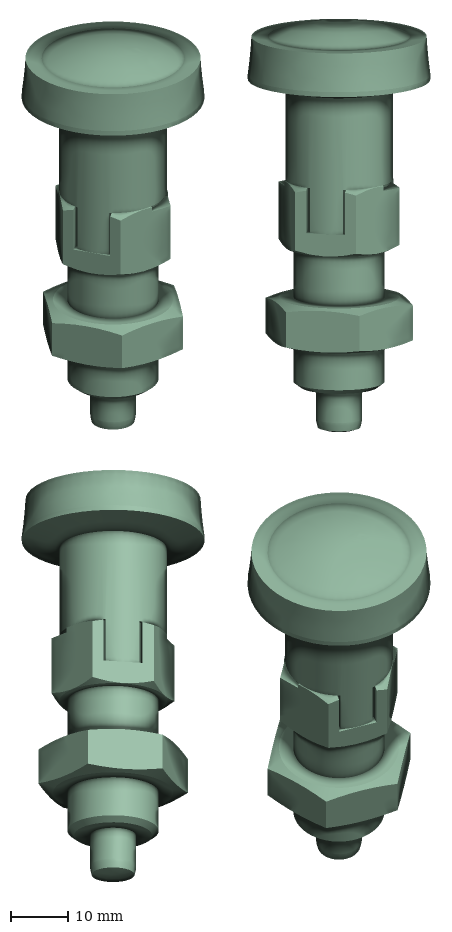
import cadquery as cq
import math

PIN_DOME_TOP = 0.7
PIN_TAPER_TOP = 2.25
BODY_BOTTOM = 8.0
NUT_BOTTOM = 16.0
NUT_TOP = 24.0
COLLAR_BOTTOM = 33.0
COLLAR_TOP = 45.0
KNOB_BOTTOM = 61.3
KNOB_CONE_TOP = 62.85
KNOB_BAND_TOP = 63.7
KNOB_RIM = 70.5
KNOB_APEX = 73.0

PIN_RADIUS = 8.0 / 2
PIN_NOSE_RADIUS = 7.5 / 2
PIN_TAPER_BULGE = 0.1
BODY_RADIUS = 16.0 / 2
BODY_CHAMFER_HEIGHT = 0.9
BODY_CHAMFER_WIDTH = 1.2
SLEEVE_RADIUS = 18.8 / 2

KNOB_RADIUS = 32.0 / 2
KNOB_RIM_RADIUS = 15.3
KNOB_SIDE_HOLLOW = 0.1
KNOB_DOME_RADIUS = 12.5

NUT_FLATS = 23.1
NUT_FACE_RADIUS = 10.5
NUT_CHAMFER_DEPTH = 0.9
COLLAR_FLATS = 19.0
COLLAR_CHAMFER_DEPTH = 0.8

SLOT_WIDTH = 7.0
DEEP_SLOT_DEPTH = 7.95
SHALLOW_SLOT_DEPTH = 0.95
SLOT_CORE_RADIUS = 8.75
TAB_WIDTH = 6.0
STUB_WIDTH = 5.5
STUB_HEIGHT = 0.5
STUB_RADIUS = 9.1


def cylinder(radius, bottom, top):
    return cq.Workplane("XY").workplane(offset=bottom).circle(radius).extrude(top - bottom)


def block(x_size, y_size, bottom, top):
    return cq.Workplane("XY").workplane(offset=bottom).rect(x_size, y_size).extrude(top - bottom)


def chamfered_hexagon(flats, bottom, top, face_radius, chamfer_depth):
    """Hexagonal prism whose corners are turned off conically at both ends."""
    corner_radius = flats / math.sqrt(3)
    prism = cq.Workplane("XY").workplane(offset=bottom).polygon(6, 2 * corner_radius).extrude(top - bottom)
    turned_envelope = (
        cq.Workplane("XZ")
        .moveTo(0, bottom)
        .lineTo(face_radius, bottom)
        .lineTo(corner_radius, bottom + chamfer_depth)
        .lineTo(corner_radius, top - chamfer_depth)
        .lineTo(face_radius, top)
        .lineTo(0, top)
        .close()
        .revolve(360, (0, 0, 0), (0, 1, 0))
    )
    return prism.intersect(turned_envelope)


def cap_drop(rim_radius, height):
    """Drop from the apex of a spherical cap to its surface at half the rim radius."""
    sphere_radius = (rim_radius**2 + height**2) / (2 * height)
    return sphere_radius - math.sqrt(sphere_radius**2 - (rim_radius / 2) ** 2)


def turned_core():
    """Pin, body, sleeve and knob as one revolved profile."""
    dome_middle = (PIN_NOSE_RADIUS / 2, cap_drop(PIN_NOSE_RADIUS, PIN_DOME_TOP))
    taper_middle = (
        (PIN_NOSE_RADIUS + PIN_RADIUS) / 2 + PIN_TAPER_BULGE,
        (PIN_DOME_TOP + PIN_TAPER_TOP) / 2,
    )
    side_middle = (
        (KNOB_RADIUS + KNOB_RIM_RADIUS) / 2 - KNOB_SIDE_HOLLOW,
        (KNOB_BAND_TOP + KNOB_RIM) / 2,
    )
    crown_drop = cap_drop(KNOB_DOME_RADIUS, KNOB_APEX - KNOB_RIM)
    crown_middle = (KNOB_DOME_RADIUS / 2, KNOB_APEX - crown_drop)
    return (
        cq.Workplane("XZ")
        .moveTo(0, 0)
        .threePointArc(dome_middle, (PIN_NOSE_RADIUS, PIN_DOME_TOP))
        .threePointArc(taper_middle, (PIN_RADIUS, PIN_TAPER_TOP))
        .lineTo(PIN_RADIUS, BODY_BOTTOM)
        .lineTo(BODY_RADIUS - BODY_CHAMFER_WIDTH, BODY_BOTTOM)
        .lineTo(BODY_RADIUS, BODY_BOTTOM + BODY_CHAMFER_HEIGHT)
        .lineTo(BODY_RADIUS, COLLAR_TOP)
        .lineTo(SLEEVE_RADIUS, COLLAR_TOP)
        .lineTo(SLEEVE_RADIUS, KNOB_BOTTOM)
        .lineTo(KNOB_RADIUS, KNOB_CONE_TOP)
        .lineTo(KNOB_RADIUS, KNOB_BAND_TOP)
        .threePointArc(side_middle, (KNOB_RIM_RADIUS, KNOB_RIM))
        .lineTo(KNOB_DOME_RADIUS, KNOB_RIM)
        .threePointArc(crown_middle, (0, KNOB_APEX))
        .close()
        .revolve(360, (0, 0, 0), (0, 1, 0))
    )


def slotted_collar():
    """Hexagonal collar with deep slots along Y, shallow slots along X, and filling tabs."""
    collar = chamfered_hexagon(COLLAR_FLATS, COLLAR_BOTTOM, COLLAR_TOP, SLEEVE_RADIUS, COLLAR_CHAMFER_DEPTH)
    deep_floor = COLLAR_TOP - DEEP_SLOT_DEPTH
    shallow_floor = COLLAR_TOP - SHALLOW_SLOT_DEPTH
    length = 2 * COLLAR_FLATS
    slots = block(SLOT_WIDTH, length, deep_floor, COLLAR_TOP)
    slots = slots.union(block(length, SLOT_WIDTH, shallow_floor, COLLAR_TOP))
    slots = slots.cut(cylinder(SLOT_CORE_RADIUS, deep_floor, COLLAR_TOP))
    tabs = block(TAB_WIDTH, length, deep_floor, COLLAR_TOP)
    tabs = tabs.intersect(cylinder(SLEEVE_RADIUS, deep_floor, COLLAR_TOP))
    stub_bottom = COLLAR_TOP - STUB_HEIGHT
    stubs = block(length, STUB_WIDTH, stub_bottom, COLLAR_TOP)
    stubs = stubs.intersect(cylinder(STUB_RADIUS, stub_bottom, COLLAR_TOP))
    return collar.cut(slots).union(tabs).union(stubs)


lock_nut = chamfered_hexagon(NUT_FLATS, NUT_BOTTOM, NUT_TOP, NUT_FACE_RADIUS, NUT_CHAMFER_DEPTH)
result = turned_core().union(lock_nut).union(slotted_collar())